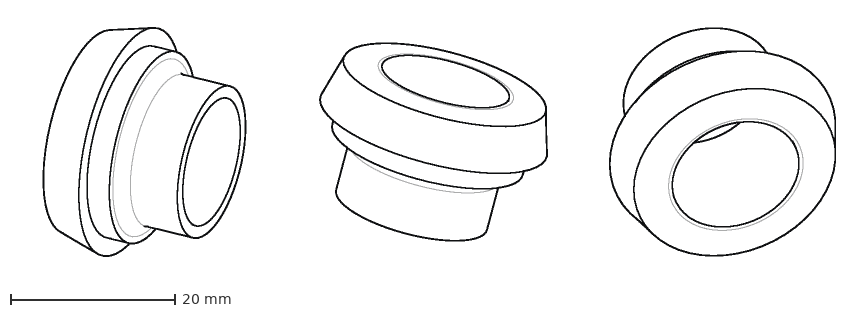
import cadquery as cq

total_length = 17.0
bore_radius = 16.0 / 2
tube_radius = 19.0 / 2
shoulder_radius = 24.0 / 2
rim_radius = 28.5 / 2
front_edge_radius = 25.45 / 2
front_ring_radius = 17.0 / 2

front_edge_x = 0.43
rim_x = 5.98
shoulder_end_x = 9.0
fillet_radius = 1.6
fillet_end_x = shoulder_end_x + fillet_radius

profile = (
    cq.Workplane("XY")
    .moveTo(0, bore_radius)
    .lineTo(0, front_ring_radius)
    .lineTo(front_edge_x, front_edge_radius)
    .lineTo(rim_x, rim_radius)
    .lineTo(rim_x, shoulder_radius)
    .lineTo(shoulder_end_x, shoulder_radius)
    .lineTo(shoulder_end_x, tube_radius + fillet_radius)
    .radiusArc((fillet_end_x, tube_radius), -fillet_radius)
    .lineTo(total_length, tube_radius)
    .lineTo(total_length, bore_radius)
    .close()
)

result = profile.revolve(360, (0, 0, 0), (1, 0, 0))